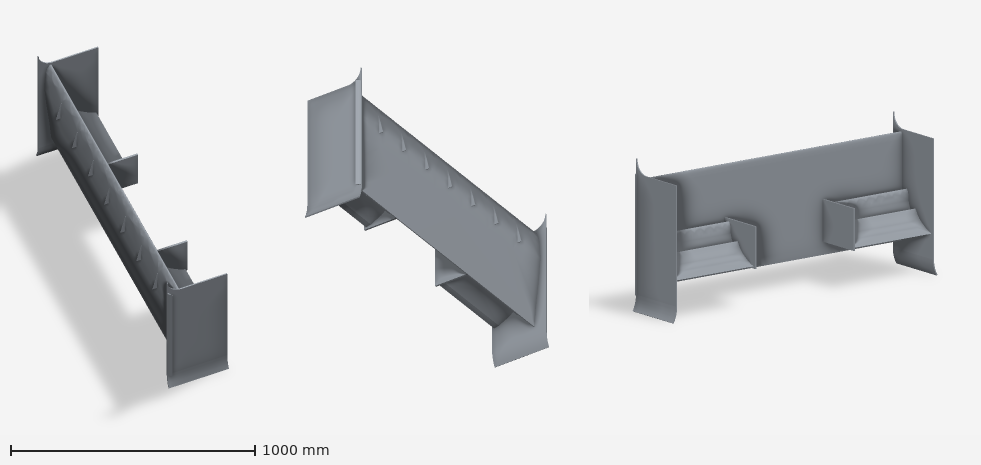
import cadquery as cq
import math

SPAN = 1374.0
DEPTH = 268.0
HEIGHT = 643.0
HALF_SPAN = SPAN / 2

PLATE_THICKNESS = 5.0
PLATE_OUTER_X = 669.0
PLATE_INNER_X = PLATE_OUTER_X - PLATE_THICKNESS
HORN_RADIUS = 63.0
HORN_TIP = 3.0
PLATE_TOP_Z = HEIGHT - HORN_RADIUS
FLARE_TOP_Z = 70.0

LIP_THICKNESS = 5.0
LIP_BEVEL = 4.0
LIP_REACH_Y = 12.0
LIP_FRONT_MIDDLE = (677.0, 5.0)
LIP_BACK_MIDDLE = (677.0, 10.0)

MAIN_BACK_Y = 62.0
MAIN_NOSE_START = (MAIN_BACK_Y, 539.0)
MAIN_FRONT = [(52.0, 569.0), (41.0, 554.0), (33.0, 520.0), (27.0, 450.0), (32.0, 371.0), (45.0, 246.0), (58.0, 111.0)]
MAIN_TAIL = (MAIN_BACK_Y, 111.0)

UPPER_FLAP = [
    (142.0, 198.0), (117.0, 255.0), (106.0, 287.0), (99.0, 328.0), (92.0, 335.0),
    (85.0, 328.0), (87.0, 290.0), (99.0, 262.0), (121.0, 220.0),
]
LOWER_FLAP = [
    (258.0, 177.0), (234.0, 187.0), (210.0, 200.0), (160.0, 250.0), (148.0, 262.0),
    (142.0, 253.0), (154.0, 232.0), (179.0, 210.0), (210.0, 194.0), (234.0, 181.0),
]

SUPPORT_THICKNESS = 8.0
SUPPORT_OUTER_X = 260.0
SUPPORT_BOTTOM_Z = 168.0
SUPPORT_TOP_Z = 346.0

FIN_THICKNESS = 3.0
MAIN_FIN_COUNT = 7
MAIN_FIN_PITCH = 166.0
MAIN_FIN = [(37.0, 511.0), (30.0, 511.0), (8.0, 422.0), (36.0, 422.0)]
FLAP_FIN_X = [291.0, 359.0, 563.0, 632.0]
FLAP_FIN = [(88.0, 324.0), (81.0, 290.0), (91.0, 290.0)]


def extrude_x(outline, x_start, x_end):
    """Extrude a closed (Y, Z) outline between two X positions."""
    return outline.extrude(x_end - x_start).translate((x_start, 0, 0))


def make_end_plate():
    arc_shift = HORN_RADIUS * math.sqrt(0.5)
    center_y = HORN_TIP + HORN_RADIUS
    outline = (
        cq.Workplane("YZ")
        .moveTo(0, FLARE_TOP_Z)
        .lineTo(0, HEIGHT)
        .lineTo(HORN_TIP, HEIGHT)
        .threePointArc((center_y - arc_shift, HEIGHT - arc_shift), (center_y, PLATE_TOP_Z))
        .lineTo(DEPTH, PLATE_TOP_Z)
        .lineTo(DEPTH, FLARE_TOP_Z)
        .close()
    )
    return extrude_x(outline, PLATE_INNER_X, PLATE_OUTER_X)


def make_flare():
    """Bottom of the end plate, bent outward in one arc tangent to the plate."""
    drop = FLARE_TOP_Z
    shift = HALF_SPAN - PLATE_OUTER_X
    angle = 2 * math.atan(shift / drop)
    for _ in range(20):
        radius = drop / math.sin(angle)
        angle = math.acos(1 - shift / (radius - PLATE_THICKNESS))
    center_x = PLATE_INNER_X + radius

    def arc_point(arc_radius, bend):
        return (center_x - arc_radius * math.cos(bend), FLARE_TOP_Z - arc_radius * math.sin(bend))

    outer_radius = radius - PLATE_THICKNESS
    return (
        cq.Workplane("XZ")
        .moveTo(*arc_point(radius, 0))
        .threePointArc(arc_point(radius, angle / 2), arc_point(radius, angle))
        .lineTo(*arc_point(outer_radius, angle))
        .threePointArc(arc_point(outer_radius, angle / 2), arc_point(outer_radius, 0))
        .close()
        .extrude(-DEPTH)
    )


def make_lip():
    """Sheet that curls outward and backward from the plate's front edge to a bevelled rim."""
    return (
        cq.Workplane("XY", origin=(0, 0, FLARE_TOP_Z))
        .moveTo(PLATE_INNER_X, 0)
        .lineTo(PLATE_OUTER_X, 0)
        .threePointArc(LIP_FRONT_MIDDLE, (HALF_SPAN - LIP_BEVEL, LIP_REACH_Y))
        .lineTo(HALF_SPAN, LIP_REACH_Y + LIP_BEVEL)
        .threePointArc(LIP_BACK_MIDDLE, (PLATE_OUTER_X, LIP_THICKNESS))
        .lineTo(PLATE_INNER_X, LIP_THICKNESS)
        .close()
        .extrude(PLATE_TOP_Z - FLARE_TOP_Z)
    )


def make_main_wing():
    outline = (
        cq.Workplane("YZ")
        .moveTo(*MAIN_TAIL)
        .lineTo(*MAIN_NOSE_START)
        .spline(MAIN_FRONT, includeCurrent=True)
        .close()
    )
    return extrude_x(outline, -PLATE_OUTER_X, PLATE_OUTER_X)


def make_flap(section):
    outline = cq.Workplane("YZ").spline(section).close()
    return extrude_x(outline, SUPPORT_OUTER_X - SUPPORT_THICKNESS, PLATE_OUTER_X)


def make_support():
    """Rectangular plate standing on the flat rear face of the main wing."""
    return cq.Workplane("XY").box(
        SUPPORT_THICKNESS, DEPTH - MAIN_BACK_Y, SUPPORT_TOP_Z - SUPPORT_BOTTOM_Z, centered=False
    ).translate((SUPPORT_OUTER_X - SUPPORT_THICKNESS, MAIN_BACK_Y, SUPPORT_BOTTOM_Z))


def make_fin(outline, x):
    half = FIN_THICKNESS / 2
    return extrude_x(cq.Workplane("YZ").polyline(outline).close(), x - half, x + half)


end_plate = make_end_plate().union(make_flare()).union(make_lip())
side_parts = [end_plate, make_support(), make_flap(UPPER_FLAP), make_flap(LOWER_FLAP)]
side_parts += [make_fin(FLAP_FIN, x) for x in FLAP_FIN_X]

result = make_main_wing()
for index in range(MAIN_FIN_COUNT):
    fin_x = (index - (MAIN_FIN_COUNT - 1) / 2) * MAIN_FIN_PITCH
    result = result.union(make_fin(MAIN_FIN, fin_x), clean=False)

for part in side_parts:
    result = result.union(part, clean=False).union(part.mirror("YZ"), clean=False)